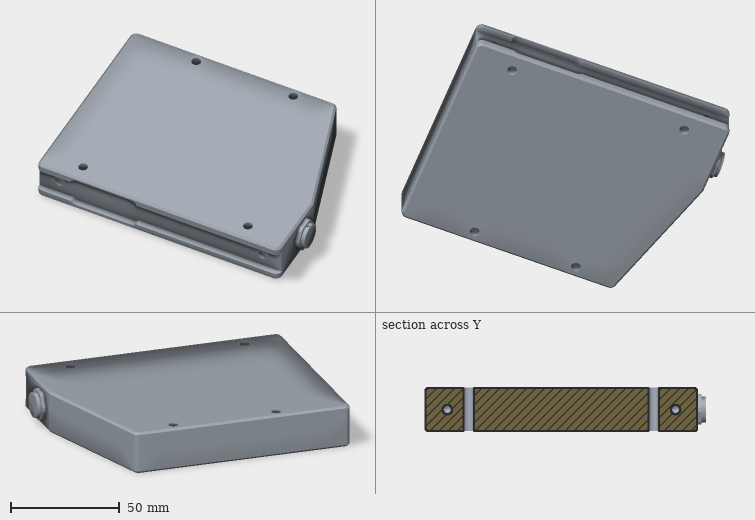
import cadquery as cq
import math

OVERALL_LENGTH = 129.0
BODY_LENGTH = 125.0
BODY_DEPTH = 98.0
BODY_HEIGHT = 20.0
MID_HEIGHT = BODY_HEIGHT / 2

SLANT_START_X = 105.0
SLANT_END_Y = 35.0
CORNER_RADIUS = 3.0
EDGE_CHAMFER = 1.0

GROOVE_HEIGHT = 12.0
GROOVE_DEPTH = 3.0
POCKET_LEFT = 17.0
POCKET_LENGTH = 35.0
POCKET_EXTRA_DEPTH = 0.1
POCKET_BOTTOM = 2.7
POCKET_HEIGHT = 15.5
POCKET_CORNER_RADIUS = 3.5

WINDOW_LENGTH = 70.4
WINDOW_HEIGHT = 15.5
WINDOW_BACK_MARGIN = 4.6
WINDOW_DEPTH = 0.1
RELIEF_DIAMETER = 2.8
RELIEF_INSET = 1.23

MOUNTING_HOLE_DIAMETER = 4.5
MOUNTING_HOLES = [(35.0, 93.0), (85.0, 93.0), (20.0, 8.0), (105.0, 8.0)]
TAPPED_HOLE_DIAMETER = 4.1
TAPPED_HOLE_DEPTH = 10.0
TAPPED_HOLES_X = [10.0, 115.0]
DRILL_POINT_ANGLE = 118

CONNECTOR_Y = 24.0
NUT_FLATS = 13.9
NUT_DIAMETER = 15.0
NUT_LENGTH = 2.0
PLUG_DIAMETER = 12.0
KEYWAY_WIDTH = 1.0
KEYWAY_DEPTH = 1.0


def make_body():
    outline = [
        (0, 0),
        (BODY_LENGTH, 0),
        (BODY_LENGTH, SLANT_END_Y),
        (SLANT_START_X, BODY_DEPTH),
        (0, BODY_DEPTH),
    ]
    body = cq.Workplane("XY").polyline(outline).close().extrude(BODY_HEIGHT)
    slant_end = cq.selectors.NearestToPointSelector((BODY_LENGTH, SLANT_END_Y, MID_HEIGHT))
    rounded_corners = cq.selectors.SubtractSelector(cq.selectors.StringSyntaxSelector("|Z"), slant_end)
    body = body.edges(rounded_corners).fillet(CORNER_RADIUS)
    return body.faces("<Z or >Z").chamfer(EDGE_CHAMFER)


def make_groove():
    groove_bottom = MID_HEIGHT - GROOVE_HEIGHT / 2
    return (
        cq.Workplane("XY", origin=(0, 0, groove_bottom))
        .rect(BODY_LENGTH, GROOVE_DEPTH, centered=False)
        .extrude(GROOVE_HEIGHT)
    )


def make_front_pocket():
    center_x = POCKET_LEFT + POCKET_LENGTH / 2
    center_z = POCKET_BOTTOM + POCKET_HEIGHT / 2
    depth = GROOVE_DEPTH + POCKET_EXTRA_DEPTH
    return (
        cq.Workplane("XZ", origin=(center_x, 0, center_z))
        .rect(POCKET_LENGTH, POCKET_HEIGHT)
        .extrude(-depth)
        .edges("|Y")
        .fillet(POCKET_CORNER_RADIUS)
    )


def make_side_window():
    center_y = BODY_DEPTH - WINDOW_BACK_MARGIN - WINDOW_LENGTH / 2
    plane = cq.Workplane("YZ", origin=(0, center_y, MID_HEIGHT))
    window = plane.rect(WINDOW_LENGTH, WINDOW_HEIGHT).extrude(WINDOW_DEPTH)
    relief_spacing = (WINDOW_LENGTH - 2 * RELIEF_INSET, WINDOW_HEIGHT - 2 * RELIEF_INSET)
    reliefs = (
        plane.rect(*relief_spacing, forConstruction=True)
        .vertices()
        .circle(RELIEF_DIAMETER / 2)
        .extrude(WINDOW_DEPTH)
    )
    return window.union(reliefs)


def make_mounting_holes():
    return (
        cq.Workplane("XY")
        .pushPoints(MOUNTING_HOLES)
        .circle(MOUNTING_HOLE_DIAMETER / 2)
        .extrude(BODY_HEIGHT)
    )


def make_tapped_hole(x):
    """Blind hole with a conical bottom, drilled from the groove floor toward +Y."""
    radius = TAPPED_HOLE_DIAMETER / 2
    cone_start = GROOVE_DEPTH + TAPPED_HOLE_DEPTH
    cone_length = radius / math.tan(math.radians(DRILL_POINT_ANGLE / 2))
    profile = [(0, 0), (radius, 0), (radius, cone_start), (0, cone_start + cone_length)]
    return (
        cq.Workplane("XY")
        .polyline(profile)
        .close()
        .revolve(360, (0, 0), (0, 1))
        .translate((x, 0, MID_HEIGHT))
    )


def make_connector():
    plane = cq.Workplane("YZ", origin=(BODY_LENGTH, CONNECTOR_Y, MID_HEIGHT))
    hexagon_turn = (0, 0, 30)
    nut = (
        plane.transformed(rotate=hexagon_turn)
        .polygon(6, NUT_FLATS, circumscribed=True)
        .extrude(NUT_LENGTH)
    )
    nut = nut.intersect(plane.circle(NUT_DIAMETER / 2).extrude(NUT_LENGTH))
    plug_length = OVERALL_LENGTH - BODY_LENGTH
    plug = plane.circle(PLUG_DIAMETER / 2).extrude(plug_length)
    keyway = (
        plane.center(0, PLUG_DIAMETER / 2)
        .rect(KEYWAY_WIDTH, 2 * KEYWAY_DEPTH)
        .extrude(plug_length)
    )
    return nut.union(plug.cut(keyway))


result = make_body().cut(make_groove()).cut(make_front_pocket()).cut(make_side_window())
result = result.cut(make_mounting_holes())
for hole_x in TAPPED_HOLES_X:
    result = result.cut(make_tapped_hole(hole_x))
result = result.union(make_connector())